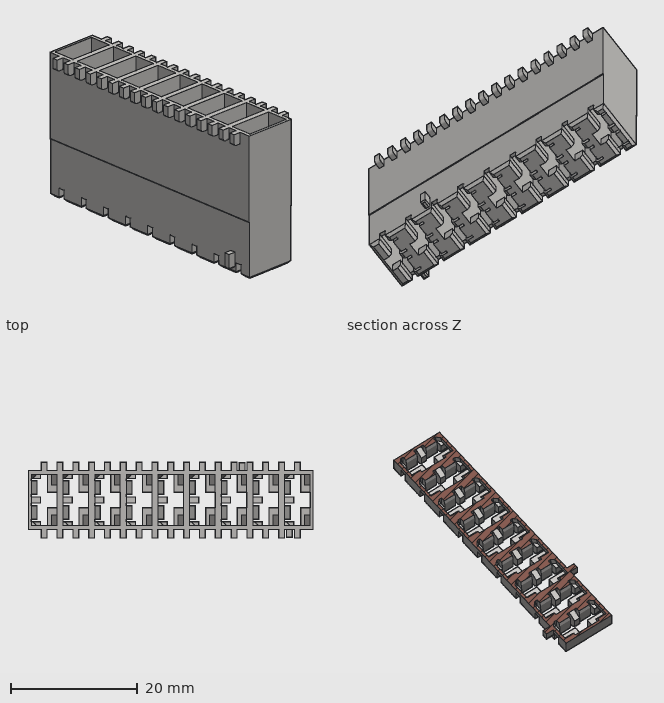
import cadquery as cq
import math

CELL_COUNT = 9
CELL_PITCH = 5.0
CELL_LENGTH = 4.0
CELL_WIDTH = 8.0
LENGTH = CELL_COUNT * CELL_PITCH
HEIGHT = 25.0
OVERALL_WIDTH = 12.0
UPPER_WIDTH = 9.35
LOWER_WIDTH = 9.1
STEP_HEIGHT = 10.0
BOTTOM_CHAMFER = 0.5
CELL_START = (CELL_PITCH - CELL_LENGTH) / 2
CELL_END = CELL_START + CELL_LENGTH

SLOT_START = 1.95
SLOT_END = 3.0
SLOT_DEPTH = 2.0

TOOTH_COUNT = 2 * CELL_COUNT - 1
TOOTH_PITCH = CELL_PITCH / 2
TOOTH_LENGTH = 0.95
TOOTH_HEIGHT = 2.0
TOOTH_FILLET = 0.5

PEG_FRONT_START = 40.75
PEG_BACK_START = 33.3
PEG_LENGTH = 0.95
PEG_BOTTOM = 1.1
PEG_TOP = 3.8
PEG_SPAN = 11.8
PEG_CHAMFER = 0.25

SEAT_HEIGHT = 2.0
CORNER_SEAT_INNER_Y = 3.4
CORNER_WEDGE_LEG = 0.8
STEEP_ANGLE = 75.0
CENTRE_SEAT_WIDTH = 1.0
CENTRE_SEAT_FALL = 0.7
RAMP_END = 1.4
RAMP_INNER_Y = 0.9
RAMP_OUTER_Y = 3.05
END_SEAT_INNER_Y = 1.2
END_WEDGE_INNER_Y = 2.35
END_WEDGE_START = 3.65
END_WEDGE_ANGLE = 55.0


def block(x0, x1, y0, y1, z0, z1):
    return cq.Workplane("XY").box(x1 - x0, y1 - y0, z1 - z0, centered=False).translate((x0, y0, z0))


def prism_along_y(points, y0, y1):
    """Extrude an X-Z outline from y0 to y1."""
    return cq.Workplane("XZ", origin=(0, y0, 0)).polyline(points).close().extrude(y0 - y1)


def mirrored_pair(shape):
    return shape.union(shape.mirror("XZ"))


def shell():
    lower = block(0, LENGTH, -LOWER_WIDTH / 2, LOWER_WIDTH / 2, 0, STEP_HEIGHT)
    lower = lower.faces("<Z").chamfer(BOTTOM_CHAMFER)
    upper = block(0, LENGTH, -UPPER_WIDTH / 2, UPPER_WIDTH / 2, STEP_HEIGHT, HEIGHT)
    body = lower.union(upper)
    for cell in range(CELL_COUNT):
        start = cell * CELL_PITCH + CELL_START
        body = body.cut(block(start, start + CELL_LENGTH, -CELL_WIDTH / 2, CELL_WIDTH / 2, 0, HEIGHT))
    return body


def corner_seat():
    """Flat seat in the corner of a cell, with a steep triangular wedge standing on it."""
    wall = CELL_WIDTH / 2
    seat = block(CELL_START, SLOT_START, CORNER_SEAT_INNER_Y, wall, 0, SEAT_HEIGHT)
    wedge_height = CORNER_WEDGE_LEG / math.sqrt(2) * math.tan(math.radians(STEEP_ANGLE))
    corner = cq.Vector(CELL_START, wall, SEAT_HEIGHT)
    along_x = corner + cq.Vector(CORNER_WEDGE_LEG, 0, 0)
    along_y = corner - cq.Vector(0, CORNER_WEDGE_LEG, 0)
    apex = corner + cq.Vector(0, 0, wedge_height)
    triangles = [
        (corner, along_x, along_y),
        (corner, along_x, apex),
        (corner, along_y, apex),
        (along_x, along_y, apex),
    ]
    faces = [cq.Face.makeFromWires(cq.Wire.makePolygon(t, close=True)) for t in triangles]
    wedge = cq.Solid.makeSolid(cq.Shell.makeShell(faces))
    column = block(CELL_START, SLOT_START, CORNER_SEAT_INNER_Y, wall, 0, HEIGHT)
    return seat.union(column.intersect(cq.Workplane(wedge)))


def centre_seat():
    """Seat in the middle of the cell width whose top falls away from the wall."""
    outline = [
        (CELL_START, 0),
        (SLOT_START, 0),
        (SLOT_START, SEAT_HEIGHT),
        (CELL_START, SEAT_HEIGHT + CENTRE_SEAT_FALL),
    ]
    return prism_along_y(outline, -CENTRE_SEAT_WIDTH / 2, CENTRE_SEAT_WIDTH / 2)


def ramp():
    """Steep rib that runs out into the wall at the start of the cell."""
    rise = (RAMP_END - CELL_START) * math.tan(math.radians(STEEP_ANGLE))
    outline = [
        (CELL_START, 0),
        (RAMP_END, 0),
        (RAMP_END, SEAT_HEIGHT),
        (CELL_START, SEAT_HEIGHT + rise),
    ]
    return prism_along_y(outline, RAMP_INNER_Y, RAMP_OUTER_Y)


def end_seat():
    """Flat seat at the far end of the cell, with a wedge against the end wall."""
    wall = CELL_WIDTH / 2
    seat = block(SLOT_END, CELL_END, END_SEAT_INNER_Y, wall, 0, SEAT_HEIGHT)
    rise = (CELL_END - END_WEDGE_START) * math.tan(math.radians(END_WEDGE_ANGLE))
    outline = [
        (END_WEDGE_START, SEAT_HEIGHT),
        (CELL_END, SEAT_HEIGHT),
        (CELL_END, SEAT_HEIGHT + rise),
    ]
    return seat.union(prism_along_y(outline, END_WEDGE_INNER_Y, wall))


def slot_cutter():
    """Cross slot with chamfered lower edges."""
    outline = [
        (SLOT_START - BOTTOM_CHAMFER, 0),
        (SLOT_END + BOTTOM_CHAMFER, 0),
        (SLOT_END, BOTTOM_CHAMFER),
        (SLOT_END, SLOT_DEPTH),
        (SLOT_START, SLOT_DEPTH),
        (SLOT_START, BOTTOM_CHAMFER),
    ]
    return prism_along_y(outline, -OVERALL_WIDTH / 2, OVERALL_WIDTH / 2)


def tooth_pair():
    """A tooth on each long side, centred on X = 0, with its lower outer edge rounded."""
    half = TOOTH_LENGTH / 2
    tooth = block(-half, half, UPPER_WIDTH / 2, OVERALL_WIDTH / 2, HEIGHT - TOOTH_HEIGHT, HEIGHT)
    return mirrored_pair(tooth.faces("<Z").edges(">Y").fillet(TOOTH_FILLET))


def peg(start):
    """Peg on the +Y side, chamfered around its three free lower edges."""
    base = LOWER_WIDTH / 2
    body = block(start, start + PEG_LENGTH, base, PEG_SPAN / 2, PEG_BOTTOM, PEG_TOP)
    return body.faces("<Z").edges("|Y or >Y").chamfer(PEG_CHAMFER)


result = shell()

cell_details = mirrored_pair(corner_seat()).union(mirrored_pair(ramp()))
cell_details = cell_details.union(mirrored_pair(end_seat())).union(centre_seat())
slot = slot_cutter()
for cell in range(CELL_COUNT):
    offset = (cell * CELL_PITCH, 0, 0)
    result = result.union(cell_details.translate(offset)).cut(slot.translate(offset))

teeth = tooth_pair()
for tooth in range(TOOTH_COUNT):
    result = result.union(teeth.translate(((tooth + 1) * TOOTH_PITCH, 0, 0)))

result = result.union(peg(PEG_BACK_START)).union(peg(PEG_FRONT_START).mirror("XZ"))